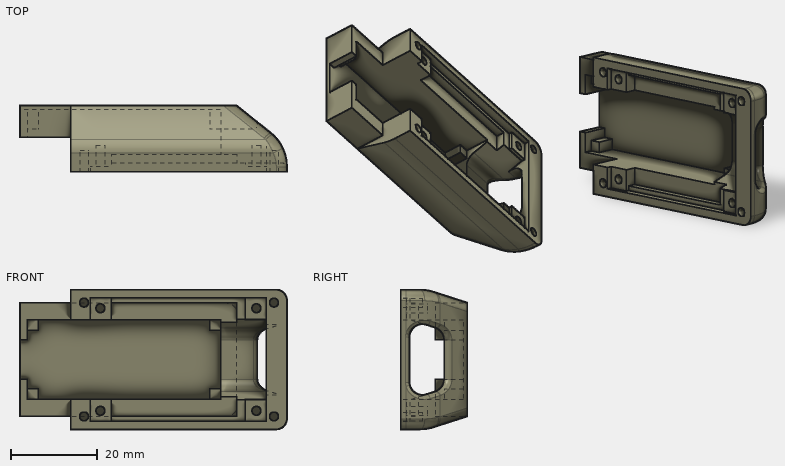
import cadquery as cq
import math

length = 61.5
depth = 15.3
height = 32.2

tail_length = 11.7
tail_front = 7.95
back_height = 26.2
straight_depth = 5.95
nose_slope_length = 11.7
blend_radius = 10.0
nose_corner_radius = 2.5

back_wall = 0.9
end_wall = 1.7
pocket_end = 46.2
pocket_height = 18.3
pocket_floor = depth - back_wall
post_size = 2.45
notch_height = 9.05

recess_start = 16.2
recess_end = 56.7
recess_height = 28.4
recess_depth = 2.0
pad_depth = 1.2
pad_length = 4.85
side_pocket_end = 49.9
side_pocket_depth = 4.05

channel_floor = 9.95
channel_radius = 2.95
channel_front_height = 18.45
mouth_radius = 1.0

hole_diameter = 2.0
hole_depth = 4.9
frame_hole_xs = (14.75, 58.5)
frame_hole_z = 13.1
pad_hole_xs = (18.5, 54.4)
pad_hole_z = 11.8

side_slope = (height - back_height) / 2 / (depth - straight_depth)
overcut = 3.1


def block(x_range, y_range, z_range):
    """Box between the given limits along X, Y and Z."""
    (x0, x1), (y0, y1), (z0, z1) = x_range, y_range, z_range
    return cq.Workplane("XY").box(x1 - x0, y1 - y0, z1 - z0, centered=False).translate((x0, y0, z0))


def centred_block(x_range, y_range, z_size):
    """Box that is symmetric about Z = 0."""
    return block(x_range, y_range, (-z_size / 2, z_size / 2))


def make_body():
    """Wide body: sloped sides and sloped nose, with rounded transitions."""
    half_height = height / 2
    half_back = back_height / 2
    section = (
        cq.Workplane("YZ", origin=(tail_length, 0, 0))
        .moveTo(0, -half_height)
        .lineTo(straight_depth, -half_height)
        .lineTo(depth, -half_back)
        .lineTo(depth, half_back)
        .lineTo(straight_depth, half_height)
        .lineTo(0, half_height)
        .close()
        .extrude(length - tail_length)
    )
    for z in (-half_height, half_height):
        side_bend = cq.selectors.NearestToPointSelector((length, straight_depth, z))
        section = section.edges("|X").edges(side_bend).fillet(blend_radius)

    side = (
        cq.Workplane("XY", origin=(0, 0, -half_height))
        .moveTo(tail_length, 0)
        .lineTo(length, 0)
        .lineTo(length, straight_depth)
        .lineTo(length - nose_slope_length, depth)
        .lineTo(tail_length, depth)
        .close()
        .extrude(height)
    )
    nose_bend = cq.selectors.NearestToPointSelector((length, straight_depth, 0))
    side = side.edges("|Z").edges(nose_bend).fillet(blend_radius)
    body = section.intersect(side)

    return body.edges("|Y and >X").fillet(nose_corner_radius)


def make_channel(start, end, round_front):
    """Tapered channel, widest at the recess floor; its front corners may be rounded too."""
    half_front = channel_front_height / 2
    half_floor = half_front - side_slope * (channel_floor - recess_depth)
    channel = (
        cq.Workplane("YZ", origin=(start, 0, 0))
        .polyline([
            (recess_depth, -half_front),
            (channel_floor, -half_floor),
            (channel_floor, half_floor),
            (recess_depth, half_front),
        ])
        .close()
        .extrude(end - start)
    )
    rounded = channel.edges("|X") if round_front else channel.faces(">Y").edges("|X")
    return rounded.fillet(channel_radius)


def make_recess():
    """Shallow recess, leaving out the four corner pads."""
    x_range = (recess_start, recess_end)
    recess = centred_block(x_range, (-overcut, pad_depth), recess_height)
    pad_free = (recess_start + pad_length, recess_end - pad_length)
    recess = recess.union(centred_block(pad_free, (-overcut, recess_depth), recess_height))
    recess = recess.union(centred_block(x_range, (-overcut, recess_depth), pocket_height))
    side_pockets = (recess_start + pad_length, side_pocket_end)
    return recess.union(centred_block(side_pockets, (-overcut, side_pocket_depth), back_height))


def make_main_pocket():
    """Deep pocket with a square post standing in each corner."""
    pocket = centred_block((end_wall, pocket_end), (-overcut, pocket_floor), pocket_height)
    post_offset = pocket_height / 2 - post_size
    for x in (end_wall, pocket_end - post_size):
        for z in (-pocket_height / 2, post_offset):
            pocket = pocket.cut(
                block((x, x + post_size), (channel_floor, pocket_floor), (z, z + post_size))
            )
    return pocket


def make_holes(xs, z, start):
    """Blind screw holes mirrored about Z = 0, drilled from the level Y = start."""
    points = [(x, side * z) for x in xs for side in (-1, 1)]
    return (
        cq.Workplane("XZ", origin=(0, start, 0))
        .pushPoints(points)
        .circle(hole_diameter / 2)
        .extrude(-hole_depth)
    )


body = make_body().cut(make_channel(pocket_end, length + overcut, True))
slope_angle = math.atan2(depth - straight_depth, nose_slope_length)
rim_x = length - (channel_floor - straight_depth) / math.tan(slope_angle)
rim = cq.selectors.NearestToPointSelector((rim_x, channel_floor, 0))
body = body.edges("|Z").edges(rim).fillet(mouth_radius)

tail = centred_block((0, tail_length + overcut), (tail_front, depth), back_height)
notch = centred_block((-overcut, end_wall), (-overcut, pocket_floor), notch_height)

result = (
    body.union(tail)
    .cut(make_main_pocket())
    .cut(notch)
    .cut(make_recess())
    .cut(make_channel(pocket_end, recess_end, False))
    .cut(make_holes(frame_hole_xs, frame_hole_z, 0))
    .cut(make_holes(pad_hole_xs, pad_hole_z, pad_depth))
)